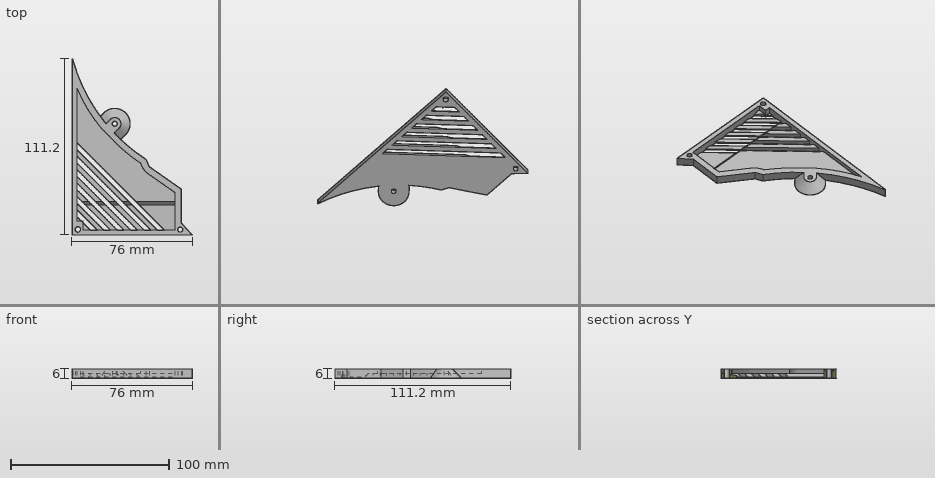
import cadquery as cq
import math

width = 76.0
length = 111.24
height = 6.0

tip_width = 0.4
right_side_x = 69.0
foot_height = 7.7
shoulder = (right_side_x, 29.1)
knee = (48.9, 43.2)
notch = (46.7, 47.9)
curve_center = (107.9, 140.5)
curve_radius = 111.3

wall = 3.2
pocket_right_x = 65.0
pocket_shoulder_y = 26.9
corner_block = (6.7, 8.9)
pocket_tip_y = 92.6
pocket_upper_mid = (8.3, 82.2)
pocket_lower_mid = (33.1, 53.1)
pocket_notch = (43.3, 45.4)
pocket_bend_mid = (45.0, 41.9)
pocket_bend_end = (48.4, 38.5)

front_floor = 1.0
rear_floor = 3.0
ramp_start_y = 19.1
ramp_end_y = ramp_start_y + rear_floor - front_floor

slot_count = 6
slot_width = 3.0
slot_pitch = 2 * slot_width
first_slot_offset = 11.9
slot_heading = 45.0
slot_length = 2 * length

hump_radius = 4.5
hump_axis_x = 7.5
hump_top = 2.24

hole_diameter = 3.0
corner_hole_diameter = 3.3
corner_hole = (3.6, 3.6)
right_hole = (68.3, 3.5)
ear_hole = (26.9, 70.4)

ear_top_radius = 3.9
ear_base_radius = 9.8
ear_reach = 8.0
ear_heading = 45.0


def point_on_outer_curve(x):
    """Point of the large concave arc at the given X."""
    return (x, curve_center[1] - math.sqrt(curve_radius**2 - (x - curve_center[0]) ** 2))


def point_from_ear(outward, sideways):
    """Point given by its distances from the ear hole, along and to the left of the ear heading."""
    heading = math.radians(ear_heading)
    return (
        ear_hole[0] + outward * math.cos(heading) - sideways * math.sin(heading),
        ear_hole[1] + outward * math.sin(heading) + sideways * math.cos(heading),
    )


def make_plate():
    return (
        cq.Workplane("XY")
        .lineTo(width, 0)
        .lineTo(right_side_x, foot_height)
        .lineTo(*shoulder)
        .lineTo(*knee)
        .lineTo(*notch)
        .threePointArc(point_on_outer_curve(notch[0] / 2), (tip_width, length))
        .lineTo(0, length)
        .close()
        .extrude(height)
    )


def make_pocket_column():
    """Full-height prism over the pocket outline, straight where it passes behind the ear."""
    flat_start = point_from_ear(-ear_reach, ear_top_radius)
    flat_end = point_from_ear(-ear_reach, -ear_top_radius)
    return (
        cq.Workplane("XY")
        .moveTo(corner_block[0], wall)
        .lineTo(pocket_right_x, wall)
        .lineTo(pocket_right_x, pocket_shoulder_y)
        .lineTo(*pocket_bend_end)
        .threePointArc(pocket_bend_mid, pocket_notch)
        .threePointArc(pocket_lower_mid, flat_end)
        .lineTo(*flat_start)
        .threePointArc(pocket_upper_mid, (wall, pocket_tip_y))
        .lineTo(wall, corner_block[1])
        .lineTo(*corner_block)
        .close()
        .extrude(height)
    )


def make_floor_body():
    """Stepped floor profile in the YZ plane, swept across the whole width."""
    return (
        cq.Workplane("YZ")
        .lineTo(length, 0)
        .lineTo(length, rear_floor)
        .lineTo(ramp_end_y, rear_floor)
        .lineTo(ramp_start_y, front_floor)
        .lineTo(0, front_floor)
        .close()
        .extrude(width)
    )


def make_hump():
    hump = (
        cq.Workplane("XZ")
        .center(hump_axis_x, hump_top - hump_radius)
        .circle(hump_radius)
        .extrude(-corner_block[1])
    )
    above_ground = cq.Workplane("XY").box(width, length, height, centered=False)
    return hump.intersect(above_ground)


def make_slots():
    slots = cq.Workplane("XY")
    for index in range(slot_count):
        offset = first_slot_offset + index * slot_pitch
        slot = (
            cq.Workplane("XY")
            .center(offset, 0)
            .rect(slot_width, slot_length)
            .extrude(height)
            .rotate((0, 0, 0), (0, 0, 1), slot_heading)
        )
        slots = slots.add(slot)
    return slots.combine()


def make_ear():
    """Cone joined to a trapezoidal ridge with the same side slope."""
    cone = (
        cq.Workplane("XY")
        .circle(ear_base_radius)
        .workplane(offset=height)
        .circle(ear_top_radius)
        .loft()
    )
    ridge = (
        cq.Workplane("YZ")
        .moveTo(-ear_base_radius, 0)
        .lineTo(ear_base_radius, 0)
        .lineTo(ear_top_radius, height)
        .lineTo(-ear_top_radius, height)
        .close()
        .extrude(-ear_reach)
    )
    ear = cone.union(ridge).rotate((0, 0, 0), (0, 0, 1), ear_heading)
    return ear.translate((ear_hole[0], ear_hole[1], 0))


def make_hole(position, diameter):
    return cq.Workplane("XY").center(*position).circle(diameter / 2).extrude(height)


pocket_column = make_pocket_column()
floor = make_floor_body().union(make_hump()).cut(make_slots()).intersect(pocket_column)

result = make_plate().union(make_ear()).cut(pocket_column).union(floor)
result = result.cut(make_hole(corner_hole, corner_hole_diameter))
result = result.cut(make_hole(right_hole, hole_diameter))
result = result.cut(make_hole(ear_hole, hole_diameter))